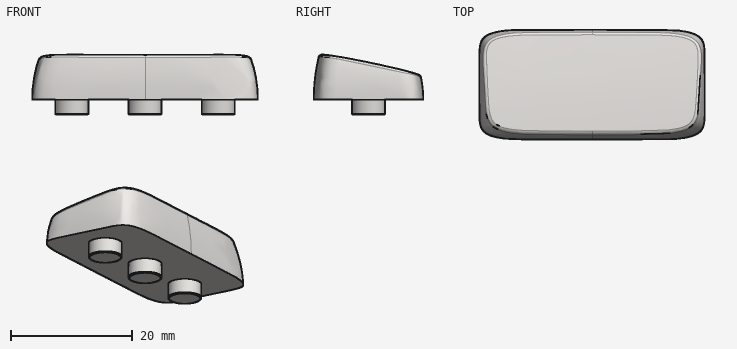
import cadquery as cq
import math

length = 37.05
depth = 18.0

end_lean = 40.75
front_lean = 60.4
rear_lean = 34.83

base_squareness = 8.0
front_squareness_loss = 0.2699
rear_squareness_loss = 0.3239
points_per_quarter = 9

blank_height = 8.9
wall_levels = 5

top_centre_height = 6.0
top_tilt = 11.7
hollow_radius = 1037.4
bow_radius = 148.2
bow_sweep = 14.0
cutter_overhang = 3.7
rim_radius = 0.55

peg_diameter = 5.5
peg_length = 2.5
peg_spacing = 12.0
peg_count = 3
peg_chamfer = 0.2


def quarter(half_length, half_depth, exponent):
    """Superellipse points from the end of the Y axis towards the end of the X axis, both included."""
    points = []
    for i in range(points_per_quarter + 1):
        angle = math.pi / 2 * i / points_per_quarter
        along_x = math.sin(angle)
        along_y = math.cos(angle)
        reach = (along_x**exponent + along_y**exponent) ** (-1 / exponent)
        points.append((half_length * along_x * reach, half_depth * along_y * reach))
    return points


def wall_outline(z):
    """Closed outline of the side walls at height z, as two mirrored splines meeting at X = 0."""
    half_length = length / 2 - z**2 / end_lean
    rear = quarter(half_length, depth / 2 - z**2 / rear_lean, base_squareness - rear_squareness_loss * z)
    front = quarter(half_length, depth / 2 - z**2 / front_lean, base_squareness - front_squareness_loss * z)
    right_side = rear + [(x, -y) for x, y in reversed(front[:-1])]
    left_side = [(-x, y) for x, y in reversed(right_side)]
    outward = cq.Vector(1, 0, 0)
    halves = []
    for side, direction in ((right_side, outward), (left_side, -outward)):
        vertices = [cq.Vector(x, y, z) for x, y in side]
        halves.append(cq.Edge.makeSpline(vertices, tangents=[direction, -direction]))
    return cq.Wire.assembleEdges(halves)


def walls():
    """Smooth loft through the wall outlines, flat at both ends."""
    levels = [blank_height * i / (wall_levels - 1) for i in range(wall_levels)]
    return cq.Workplane(cq.Solid.makeLoft([wall_outline(z) for z in levels]))


def above_top():
    """Everything above the top: a hollow arc swept along the bow, then tilted down towards +Y."""
    half_width = length / 2 + cutter_overhang
    edge_rise = hollow_radius - math.sqrt(hollow_radius**2 - half_width**2)
    block = (
        cq.Workplane("XZ")
        .moveTo(-half_width, edge_rise)
        .threePointArc((0, 0), (half_width, edge_rise))
        .lineTo(half_width, blank_height)
        .lineTo(-half_width, blank_height)
        .close()
        .revolve(bow_sweep, (0, -bow_radius), (1, -bow_radius))
    )
    bow_axis = ((0, 0, -bow_radius), (1, 0, -bow_radius))
    centred = block.rotate(*bow_axis, -bow_sweep / 2)
    return centred.rotate((0, 0, 0), (1, 0, 0), -top_tilt).translate((0, 0, top_centre_height))


def pegs():
    """Row of round pegs along X, chamfered at the free ends."""
    return (
        cq.Workplane("XY")
        .rarray(peg_spacing, 0.37, peg_count, 1)
        .circle(peg_diameter / 2)
        .extrude(-peg_length)
        .faces("<Z")
        .chamfer(peg_chamfer)
    )


cap = walls().cut(above_top())
cap = cap.faces(">Z").edges().fillet(rim_radius)
result = cap.union(pegs())